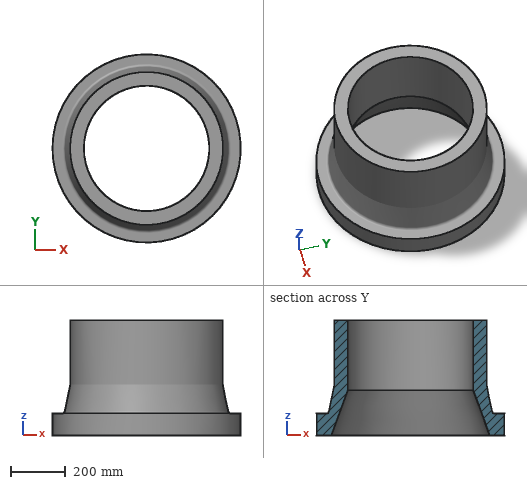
import cadquery as cq
import math

flange_diameter = 690.0
flange_thickness = 81.5

total_height = 423.0
pipe_diameter = 559.5
bore_diameter = 458.0
hub_top = 188.0
hub_base_diameter = 603.0
fillet_radius = 10.5

bore_taper_top = 166.0
bore_taper_angle = 20.0

flange_radius = flange_diameter / 2
pipe_radius = pipe_diameter / 2
bore_radius = bore_diameter / 2
hub_base_radius = hub_base_diameter / 2
bore_mouth_radius = bore_radius + bore_taper_top * math.tan(math.radians(bore_taper_angle))

section = (
    cq.Workplane("XZ")
    .moveTo(-bore_mouth_radius, 0)
    .lineTo(-flange_radius, 0)
    .lineTo(-flange_radius, flange_thickness)
    .lineTo(-hub_base_radius, flange_thickness)
    .lineTo(-pipe_radius, hub_top)
    .lineTo(-pipe_radius, total_height)
    .lineTo(-bore_radius, total_height)
    .lineTo(-bore_radius, bore_taper_top)
    .close()
)
body = section.revolve(360, (0, 0, 0), (0, 1, 0))

hub_root = cq.selectors.RadiusNthSelector(-2)
result = body.edges("%CIRCLE").edges(hub_root).fillet(fillet_radius)